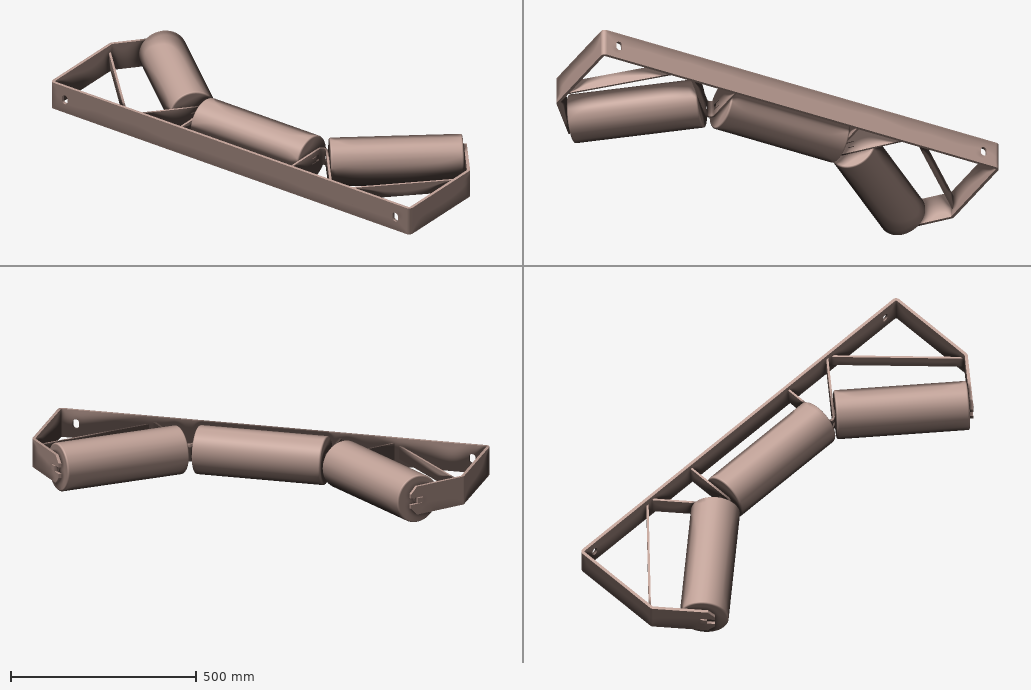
import cadquery as cq
import math

FRAME_SPAN = 1210.0
TILT = 40.0
TILT_COS = math.cos(math.radians(TILT))
TILT_SIN = math.sin(math.radians(TILT))

BAR_THICKNESS = 8.0
BAR_WIDTH = 80.0
FRAME_BEND_RADIUS = 4.0
TIP_RISE = 30.0
TIP_CHAMFER = 19.0
MOUNT_SLOT_SPACING = 1111.0
MOUNT_SLOT_LENGTH = 27.0
MOUNT_SLOT_WIDTH = 18.0

ROLLER_DIAMETER = 133.0
ROLLER_LENGTH = 360.0
ROLLER_EDGE_FILLET = 5.0
HUB_DIAMETER = 29.0
SHAFT_HEIGHT = 18.0
SHAFT_WIDTH = 15.0
SHAFT_SLOT_WIDTH = 18.0
END_GAP = 3.0
SHAFT_PROTRUSION = 2.0
CENTER_ROLLER_Y = 128.0
WING_ROLLER_X = 367.0
WING_ROLLER_Y = 259.0

BRACKET_THICKNESS = 6.0
BRACKET_WIDTH = 50.0
BRACKET_BEND_RADIUS = 10.0
BRACE_THICKNESS = 6.0
BRACE_WIDTH = 36.0
BRACE_FOOT_X = 350.0
BRACE_ANGLE = 46.0

HALF_SPAN = FRAME_SPAN / 2
HALF_ROLLER = ROLLER_LENGTH / 2
SEAT = HALF_ROLLER + END_GAP
LONG = 2 * FRAME_SPAN


def wing_point(along, rise):
    """Point beside the left wing roller: along its axis towards the middle, and square to the axis."""
    return (
        -WING_ROLLER_X + along * TILT_COS + rise * TILT_SIN,
        WING_ROLLER_Y - along * TILT_SIN + rise * TILT_COS,
    )


def wing_rise_at_x(along, x):
    """Rise at which the line square to the wing axis passes the given x."""
    return (x + WING_ROLLER_X - along * TILT_COS) / TILT_SIN


def wing_rise_at_y(along, y):
    """Rise at which the line square to the wing axis passes the given y."""
    return (y - WING_ROLLER_Y + along * TILT_SIN) / TILT_COS


def unit_vector(start, end):
    length = math.dist(start, end)
    return ((end[0] - start[0]) / length, (end[1] - start[1]) / length)


def bent_strip(points, thickness, width, bend_radius):
    """Flat bar whose right-hand face follows the points; the thickness goes to the left."""
    directions = [unit_vector(a, b) for a, b in zip(points, points[1:])]
    before = [directions[0]] + directions
    after = directions + [directions[-1]]
    left_face = []
    for (x, y), (ux, uy), (vx, vy) in zip(points, before, after):
        miter = thickness / (1 + ux * vx + uy * vy)
        left_face.append((x - (uy + vy) * miter, y + (ux + vx) * miter))
    strip = cq.Workplane("XY").polyline(points + left_face[::-1]).close().extrude(width / 2, both=True)
    for i in range(1, len(points) - 1):
        u, v = before[i], after[i]
        turns_left = u[0] * v[1] - u[1] * v[0] > 0
        inside, outside = (left_face[i], points[i]) if turns_left else (points[i], left_face[i])
        for corner, radius in ((inside, bend_radius), (outside, bend_radius + thickness)):
            edge = strip.edges("|Z").edges(cq.selectors.NearestToPointSelector((*corner, 0)))
            strip = edge.fillet(radius)
    return strip


def mirrored(body):
    """Copy of a left-hand body on the right-hand side."""
    return body.mirror("YZ")


def block_at(center, size_x, size_y, size_z, angle=0.0):
    """Box centred on a point of the XY plane, turned about Z."""
    block = cq.Workplane("XY").box(size_x, size_y, size_z)
    return block.rotate((0, 0, 0), (0, 0, 1), angle).translate((*center, 0))


def shaft_slot(center, depth, angle):
    """Cutter for a slot with its floor under the shaft end, open along +Y before it is turned."""
    slot = cq.Workplane("XY").box(depth, LONG, SHAFT_SLOT_WIDTH).translate((0, (LONG - SHAFT_HEIGHT) / 2, 0))
    return slot.rotate((0, 0, 0), (0, 0, 1), angle).translate((*center, 0))


def make_frame():
    """Base bar with upright ends and sloped arms; the arms are slotted for the outer shaft ends."""
    outer = -SEAT - BAR_THICKNESS
    tip = wing_point(outer, TIP_RISE)
    knee = (-HALF_SPAN, wing_point(outer, wing_rise_at_x(outer, -HALF_SPAN))[1])
    left = [tip, knee, (-HALF_SPAN, 0)]
    right = [(-x, y) for x, y in reversed(left)]
    frame = bent_strip(left + right, BAR_THICKNESS, BAR_WIDTH, FRAME_BEND_RADIUS)

    arm_middle = -SEAT - BAR_THICKNESS / 2
    tip_middle = wing_point(arm_middle, TIP_RISE)
    corners = (
        cq.Workplane("YZ")
        .polyline([(0, BAR_WIDTH / 2), (-TIP_CHAMFER, BAR_WIDTH / 2), (0, BAR_WIDTH / 2 - TIP_CHAMFER)])
        .close()
        .extrude(BAR_THICKNESS, both=True)
    )
    corners = corners.union(corners.mirror("XY"))
    corners = corners.rotate((0, 0, 0), (0, 0, 1), -TILT).translate((*tip_middle, 0))
    slot = shaft_slot(wing_point(arm_middle, 0), 2 * BAR_THICKNESS, -TILT)
    for cutter in (corners, slot):
        frame = frame.cut(cutter).cut(mirrored(cutter))

    mount_slots = (
        cq.Workplane("XZ")
        .pushPoints([(-MOUNT_SLOT_SPACING / 2, 0), (MOUNT_SLOT_SPACING / 2, 0)])
        .slot2D(MOUNT_SLOT_LENGTH, MOUNT_SLOT_WIDTH, 90)
        .extrude(2 * BAR_THICKNESS, both=True)
    )
    return frame.cut(mount_slots)


def centered_cylinder(diameter, length):
    """Cylinder along X, centred on the origin."""
    return cq.Workplane("YZ", origin=(-length / 2, 0, 0)).circle(diameter / 2).extrude(length)


def make_roller(left_reach, right_reach):
    """Roller along X; each reach is how far a shaft end goes beyond the roller face."""
    roller = centered_cylinder(ROLLER_DIAMETER, ROLLER_LENGTH).edges("%CIRCLE").fillet(ROLLER_EDGE_FILLET)
    hub = centered_cylinder(HUB_DIAMETER, 2 * SEAT)
    shaft = (
        cq.Workplane("YZ", origin=(-HALF_ROLLER - left_reach, 0, 0))
        .rect(SHAFT_HEIGHT, SHAFT_WIDTH)
        .extrude(left_reach + ROLLER_LENGTH + right_reach)
    )
    return roller.union(hub).union(shaft)


def make_bracket():
    """Left inner bracket: a sloped leg for the wing roller and an upright leg for the middle one."""
    foot = wing_point(SEAT, wing_rise_at_y(SEAT, 0))
    apex_rise = wing_rise_at_x(SEAT, -SEAT)
    apex = wing_point(SEAT, apex_rise)
    bracket = bent_strip([(-SEAT, 0), apex, foot], BRACKET_THICKNESS, BRACKET_WIDTH, BRACKET_BEND_RADIUS)
    bracket = bracket.cut(block_at((0, BAR_THICKNESS - LONG / 2), LONG, LONG, LONG))
    bracket = bracket.cut(shaft_slot((-SEAT, CENTER_ROLLER_Y), 2 * BRACKET_THICKNESS, 0))
    return bracket.cut(shaft_slot(wing_point(SEAT, 0), 2 * BRACKET_THICKNESS, -TILT))


def make_brace():
    """Left diagonal brace, trimmed to the inner faces of the base bar and the frame side."""
    middle_offset = BRACE_THICKNESS / 2 / math.sin(math.radians(BRACE_ANGLE))
    brace = block_at(
        (-BRACE_FOOT_X - middle_offset, BAR_THICKNESS), LONG, BRACE_THICKNESS, BRACE_WIDTH, -BRACE_ANGLE
    )
    inside = block_at(
        (-HALF_SPAN + BAR_THICKNESS + HALF_SPAN / 2, BAR_THICKNESS + LONG / 2), HALF_SPAN, LONG, LONG
    )
    return brace.intersect(inside)


frame = make_frame()
bracket_reach = END_GAP + BRACKET_THICKNESS
arm_reach = END_GAP + BAR_THICKNESS + SHAFT_PROTRUSION
center_roller = make_roller(bracket_reach, bracket_reach).translate((0, CENTER_ROLLER_Y, 0))
wing_roller = make_roller(arm_reach, bracket_reach).rotate((0, 0, 0), (0, 0, 1), -TILT)
wing_roller = wing_roller.translate((-WING_ROLLER_X, WING_ROLLER_Y, 0))

bracket = make_bracket()
brace = make_brace()

bodies = [frame.solids().val(), center_roller.solids().val()]
for left_body in (wing_roller, bracket, brace):
    bodies.append(left_body.solids().val())
    bodies.append(mirrored(left_body).solids().val())

result = cq.Compound.makeCompound(bodies)